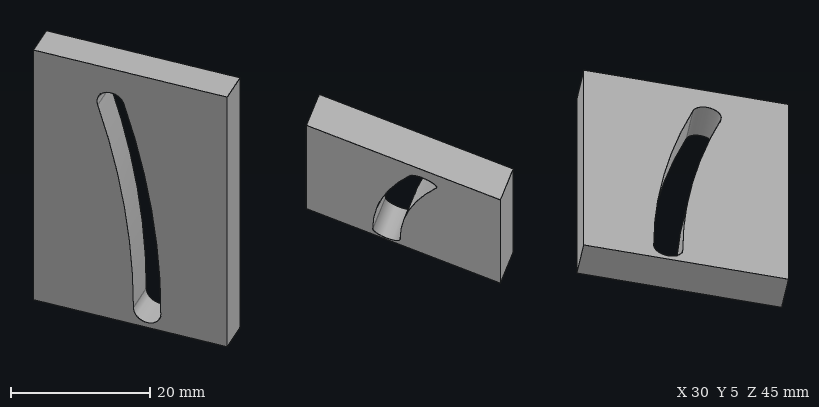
import cadquery as cq
import math

height = 45.0
width = height * 2 / 3
thickness = height / 9

slot_radius = 2.1
lower_end_x = 2.6
lower_end_z = -19.5
path_radius = 115.0
sweep_angle = 18.0
path_center_x = lower_end_x - path_radius


def arc_point(radius, angle):
    """Point (X, Z) at an angle in degrees around the centre of the slot path."""
    turn = math.radians(angle)
    return (path_center_x + radius * math.cos(turn), lower_end_z + radius * math.sin(turn))


def slot_cutter():
    """Round-ended curved slot, through the full thickness."""
    inner_radius = path_radius - slot_radius
    outer_radius = path_radius + slot_radius
    upper_x, upper_z = arc_point(path_radius, sweep_angle)
    tangent = math.radians(sweep_angle)
    upper_tip = (
        upper_x - slot_radius * math.sin(tangent),
        upper_z + slot_radius * math.cos(tangent),
    )
    lower_tip = (lower_end_x, lower_end_z - slot_radius)
    return (
        cq.Workplane("XZ")
        .moveTo(*arc_point(outer_radius, 0))
        .threePointArc(arc_point(outer_radius, sweep_angle / 2), arc_point(outer_radius, sweep_angle))
        .threePointArc(upper_tip, arc_point(inner_radius, sweep_angle))
        .threePointArc(arc_point(inner_radius, sweep_angle / 2), arc_point(inner_radius, 0))
        .threePointArc(lower_tip, arc_point(outer_radius, 0))
        .close()
        .extrude(thickness, both=True)
    )


plate = cq.Workplane("XY").box(width, thickness, height)
result = plate.cut(slot_cutter())